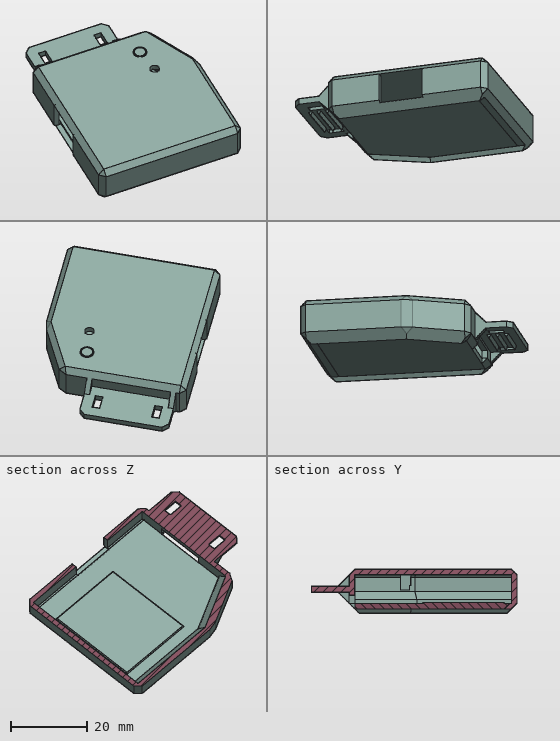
import cadquery as cq
import math

total_length = 54.15
tab_length = 9.95
length = total_length - tab_length
depth = 41.1
height = 11.65

wall = 1.5
rim_height = 1.15
box_bottom = rim_height
bevel_top = box_bottom + wall
ceiling = height - wall

slant_run = 15.5
slant_rise = 7.5
inner_slant_shift = 1.45

lid_inset = 2.05
lid_top = bevel_top
pad_left, pad_front = 19.2, 7.85
pad_length, pad_depth = 21.65, 26.0
pad_height = 0.25
rim_flare = 1.0
lip_reach = 2.1
lip_edge_top = 3.65
cavity_chamfer = 0.65

block_left, block_front, block_depth = 13.55, 35.75, 3.25
block_width = 2.3
block_bottom = 6.1
block_step_width = 2.65
block_step_bottom = 7.3

window_left = 14.6
window_width = 11.9
sill_drop = 0.5
port_front = 8.5
port_width = 13.55
port_top = 4.7

tab_front = 2.5
tab_width = 24.0
tab_bottom = 5.5
tab_thickness = 1.6
tab_top = tab_bottom + tab_thickness
rib_width = 1.4
slot_length = 4.0
slot_width = 2.0
slot_offset = 3.0
tooth_first = 2.7
tooth_pitch = 2.35
tooth_count = 3
tooth_width = 1.15
tooth_height = 1.05
tooth_length = 11.9

button_x, button_y = 7.65, 28.1
button_hole_diameter = 3.6
button_diameter = 3.5
button_face_diameter = 3.0
indicator_x, indicator_y = 14.85, 29.0
indicator_diameter = 2.5

overshoot = 5.4


def outline(extra_left=0.0, extra_right=0.0, extra_front=0.0, extra_slant=0.0):
    """Sharp-cornered plan outline; its sides can be moved outward and its slant lengthened."""
    run = slant_run + extra_slant
    slant_end_y = depth - slant_rise * (run + extra_left) / slant_run
    return [
        (-extra_left, -extra_front),
        (length + extra_right, -extra_front),
        (length + extra_right, depth),
        (run, depth),
        (-extra_left, slant_end_y),
    ]


def step_toward(start, end, distance):
    span = math.dist(start, end)
    return tuple(a + (b - a) * distance / span for a, b in zip(start, end))


def inset_corner(before, corner, after, inset):
    """Moves a counterclockwise outline's corner so that both its sides shift inward."""
    arriving_x, arriving_y = step_toward((0, 0), (corner[0] - before[0], corner[1] - before[1]), 1)
    leaving_x, leaving_y = step_toward((0, 0), (after[0] - corner[0], after[1] - corner[1]), 1)
    reach = inset / (1 + arriving_x * leaving_x + arriving_y * leaving_y)
    return (
        corner[0] - (arriving_y + leaving_y) * reach,
        corner[1] + (arriving_x + leaving_x) * reach,
    )


def corners_with_neighbours(points):
    return zip(points[-1:] + points[:-1], points, points[1:] + points[:1])


def section_wire(points, inset, z):
    moved = [inset_corner(*corners, inset) for corners in corners_with_neighbours(points)]
    return cq.Wire.makePolygon([cq.Vector(x, y, z) for x, y in moved], close=True)


def stacked(points, stations):
    """Flat-sided solid through (height, inset) stations of one outline, from bottom to top."""
    solid = cq.Workplane()
    for lower, upper in zip(stations, stations[1:]):
        wires = [section_wire(points, inset, z) for z, inset in (lower, upper)]
        solid = solid.add(cq.Solid.makeLoft(wires, True))
    return solid.combine()


def box(x, y, z, size_x, size_y, size_z):
    return cq.Workplane("XY").box(size_x, size_y, size_z, centered=False).translate((x, y, z))


def side_profile(points, front, width):
    """Extrudes an XZ profile toward +Y, starting at Y = front."""
    return cq.Workplane("XZ", origin=(0, front, 0)).polyline(points).close().extrude(-width)


def polyhedron(faces):
    """Solid bounded by flat faces, each given as a loop of corner points."""
    wires = [cq.Wire.makePolygon([cq.Vector(*point) for point in loop], close=True) for loop in faces]
    shell = cq.Shell.makeShell([cq.Face.makeFromWires(wire) for wire in wires])
    return cq.Workplane(cq.Solid.makeSolid(shell))


def corner_chamfer(before, corner, after):
    """Material removed at one upright corner, running to a point on the top and bottom faces."""
    plan = [corner, step_toward(corner, before, wall), step_toward(corner, after, wall)]
    lower = [(x, y, bevel_top) for x, y in plan]
    upper = [(x, y, ceiling) for x, y in plan]
    tip = inset_corner(before, corner, after, wall)
    top_tip = (*tip, height)
    bottom_tip = (*tip, box_bottom)
    faces = []
    for index in range(3):
        following = (index + 1) % 3
        faces.append([lower[index], lower[following], upper[following], upper[index]])
        faces.append([upper[index], upper[following], top_tip])
        faces.append([lower[index], lower[following], bottom_tip])
    return polyhedron(faces)


def outer_block():
    """Box with every edge bevelled, standing on a rim that carries the lower bevel further down."""
    points = outline()
    block = stacked(points, [(0, wall + rim_height), (bevel_top, 0), (ceiling, 0), (height, wall)])
    for corners in corners_with_neighbours(points):
        block = block.cut(corner_chamfer(*corners))
    return block


def rim_recess():
    """Runs through from left to right, flaring downward from the lid to the tip of the rim."""
    edge = wall + rim_height
    return stacked(outline(overshoot, overshoot), [(0, edge), (box_bottom, edge + rim_flare)])


def lid_plate():
    """Dovetail plate widening upward; its left end lies flush with the housing's lower bevel."""
    plate = stacked(outline(overshoot), [(box_bottom, lid_inset + wall), (lid_top, lid_inset)])
    return plate.intersect(outer_block())


def cavity():
    """Inner room; the back and slanted walls have a sloped lip near the lid and a bevel at the ceiling."""
    room = stacked(outline(), [(lid_top, wall), (ceiling, wall)])
    lip_inset = wall + lip_reach
    back_profile = [
        (lid_top, lip_inset),
        (lip_edge_top, lip_inset),
        (lip_edge_top + lip_reach, wall),
        (ceiling - cavity_chamfer, wall),
        (ceiling, wall + cavity_chamfer),
    ]
    back_outline = outline(overshoot, overshoot, overshoot, inner_slant_shift)
    return room.intersect(stacked(back_outline, back_profile))


def ceiling_block():
    main = box(block_left, block_front, block_bottom, block_width, block_depth, ceiling - block_bottom)
    step_height = ceiling - block_step_bottom
    step = box(block_left, block_front, block_step_bottom, block_step_width, block_depth, step_height)
    return main.union(step)


def window():
    sill = lid_top - sill_drop
    return box(window_left, 0, sill, window_width, lid_inset, ceiling - sill)


def port():
    return box(0, port_front, box_bottom, wall, port_width, port_top - box_bottom)


def mounting_tab():
    """Plate with chamfered corners, two strap slots, grip teeth and a gusset at each side."""
    plate = box(-tab_length, tab_front, tab_bottom, tab_length + wall, tab_width, tab_thickness)
    plate = plate.edges("|Z and <X").chamfer(wall)
    for slot_y in (tab_front + slot_offset, tab_front + tab_width - slot_offset - slot_width):
        slot = box(slot_offset - tab_length, slot_y, tab_bottom, slot_length, slot_width, tab_thickness)
        plate = plate.cut(slot)

    gusset = [
        (tab_top - ceiling, tab_top),
        (0, ceiling),
        (wall, ceiling),
        (wall, bevel_top),
        (0, bevel_top),
        (bevel_top - tab_bottom, tab_bottom),
    ]
    for rib_y in (tab_front, tab_front + tab_width - rib_width):
        plate = plate.union(side_profile(gusset, rib_y, rib_width))

    for index in range(tooth_count):
        tip_x = tooth_first + index * tooth_pitch - tab_length
        tooth = [
            (tip_x - tooth_width / 2, tab_bottom),
            (tip_x + tooth_width / 2, tab_bottom),
            (tip_x, tab_bottom - tooth_height),
        ]
        plate = plate.union(side_profile(tooth, port_front, tooth_length))
    return plate


def top_wall_disc(x, y, diameter):
    """Round slug as thick as the top wall, used for holes and for the button."""
    return cq.Workplane("XY", origin=(x, y, ceiling)).circle(diameter / 2).extrude(wall)


def make_housing():
    body = outer_block().union(mounting_tab())
    for cutter in (rim_recess(), lid_plate(), cavity(), window(), port()):
        body = body.cut(cutter)
    body = body.union(ceiling_block())
    body = body.cut(top_wall_disc(button_x, button_y, button_hole_diameter))
    return body.cut(top_wall_disc(indicator_x, indicator_y, indicator_diameter))


def make_lid():
    pad_right = pad_left + pad_length
    pad_back = pad_front + pad_depth
    pad_points = [
        (pad_left, pad_front),
        (pad_right, pad_front),
        (pad_right, pad_back),
        (pad_left, pad_back),
    ]
    pad = stacked(pad_points, [(lid_top, 0), (lid_top + pad_height, pad_height)])
    return lid_plate().cut(port()).union(pad)


def make_button():
    chamfer = (button_diameter - button_face_diameter) / 2
    return top_wall_disc(button_x, button_y, button_diameter).faces(">Z").chamfer(chamfer)


housing = make_housing()
lid = make_lid()
button = make_button()

result = cq.Compound.makeCompound(
    [*housing.solids().vals(), *lid.solids().vals(), *button.solids().vals()]
)